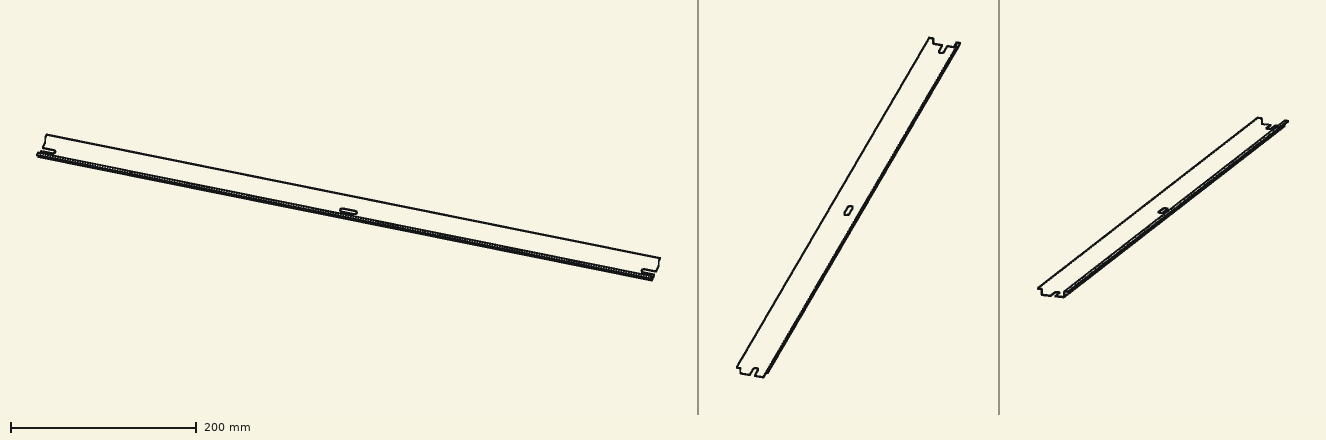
import cadquery as cq

length = 691.0
width = 35.0
height = 7.5
sheet = 1.0
channel_width = 27.0
inner_bend = 0.8
outer_bend = inner_bend + sheet

slot_width = 5.5
slot_length = 19.0
notch_depth = 15.0


def long_box(box_width, bottom, top):
    """Full-length bar centred on Y, between two heights."""
    return (
        cq.Workplane("XY", origin=(0, 0, bottom))
        .rect(length, box_width)
        .extrude(top - bottom)
    )


def hat_solid(lower_width, bottom, brim_bottom, top, lower_bend, brim_bend):
    """Filled hat section with its lower corners and the corners under its brim rounded."""
    trough = long_box(lower_width, bottom, top).edges("|X and <Z").fillet(lower_bend)
    hat = trough.union(long_box(width, brim_bottom, top))
    half_lower = lower_width / 2
    for y in (-half_lower, half_lower):
        hat = hat.edges(cq.selectors.NearestToPointSelector((0, y, brim_bottom))).fillet(brim_bend)
    return hat


def make_rail():
    """Bent sheet: an outer hat section less the same section one sheet thickness inside."""
    outside = hat_solid(channel_width, 0, height - sheet, height, outer_bend, inner_bend)
    cavity = hat_solid(
        channel_width - 2 * sheet, sheet, height, height + sheet, inner_bend, outer_bend
    )
    return outside.cut(cavity)


def slot_cutter(center_x, total_length):
    """Round-ended slot along X, reaching right through the floor."""
    return (
        cq.Workplane("XY")
        .center(center_x, 0)
        .slot2D(total_length, slot_width)
        .extrude(height)
    )


result = make_rail().cut(slot_cutter(0, slot_length))
for end_x in (-length / 2, length / 2):
    result = result.cut(slot_cutter(end_x, 2 * notch_depth))